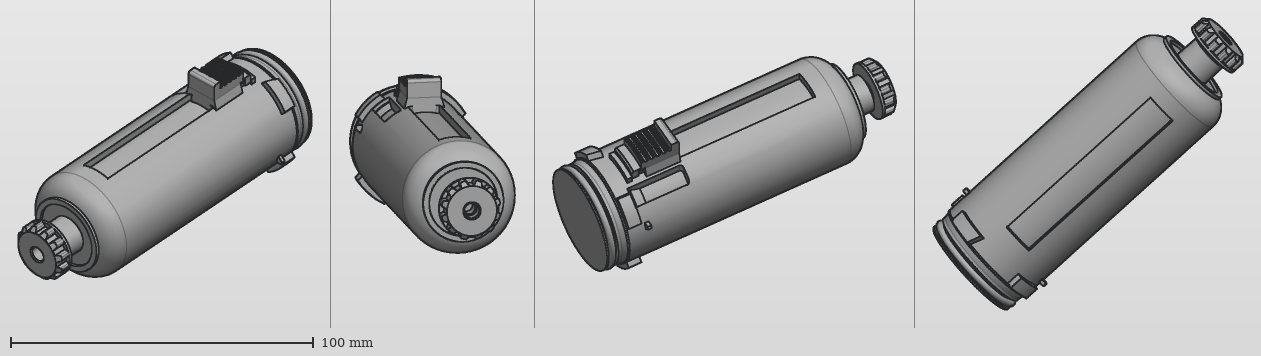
import cadquery as cq
import math

LENGTH = 115.0
HEIGHT = 46.3
OVERLAP = 0.6

GUARD_R = 37.8 / 2
GUARD_BORE_R = 32.5 / 2
GUARD_TOP_Y = 106.7
DOME_FILLET_R = 8.0
DOME_START_Y = 23.0
RIM_R = 27.0 / 2
RIM_BORE_R = 23.0 / 2
RIM_Y = 14.3
BORE_END_Y = 19.5
SLOT_WIDTH = 10.8
SLOT_START_Y = 28.9
BOTTOM_SLOT_END_Y = 93.7

TAB_R = 42.0 / 2
TAB_HALF_WIDTH = 10.7 / 2
TAB_LENGTH = 4.8
TAB_ANGLE = 45
TAB_SLANT = 1.5

LUG_R = 21.0
LUG_TOP_Z = 8.7
LUG_TIP_Z = 7.7
LUG_ROOT_X = 17.2
LUG_Y = 98.8
LUG_LENGTH = 1.4

POCKET_START_Y = 80.7
POCKET_END_Y = 101.4
POCKET_INNER_X = -7.7
POCKET_OUTER_X = -13.3
POCKET_OUTER_SLOPE = 2.3
POCKET_LOW_Z = 9.2
POCKET_CORNER_R = 1.0
RAMP_R = 17.6
RAMP_START_Y = 96.7
RAMP_TOP_Y = 100.5

FLANGE_Y = 107.4
COLLAR_TOP_R = 36.5 / 2
COLLAR_FOOT_R = 18.6
COLLAR_FOOT_Y = 109.5
COLLAR_TOP_Y = 110.6
NECK_GROOVE_R = 16.6
BEAD_Y = 112.6
BEAD_R = 1.3
BEAD_OUTER_R = 18.6
LIP_Y = 114.3
BOWL_END_Y = 15.3
STEM_TOP_R = 6.7
STEM_END_R = 13.0 / 2
STEM_END_Y = 7.1
KNOB_NECK_R = 8.0 / 2
KNOB_R = 20.0 / 2
KNOB_TOP_Y = 6.0
KNOB_FLANGE_Y = 5.0
KNOB_FACE_R = 8.4
KNOB_CHAMFER_LENGTH = 1.5
FLUTE_COUNT = 12
FLUTE_FLOOR_R = 8.5
FLUTE_FLOOR_WIDTH = 1.7
FLUTE_MOUTH_WIDTH = 3.3
KNOB_EDGE_FILLET = 0.7
DRAIN_MOUTH_R = 3.0
DRAIN_CHAMFER = 0.5
DRAIN_SHELF_Y = 4.6
DRAIN_R = 4.0 / 2
DRAIN_DEPTH = 9.2

BUTTON_FRONT_Y = 80.7
BUTTON_HALF_WIDTH = 5.8
BUTTON_TOP_Z = HEIGHT - GUARD_R
GRIP_VALLEY_Z = 24.6
RIB_R = 25.9
WALL_THICKNESS = 3.0
WALL_FILLET_R = 1.0
RIB_COUNT = 5
RIB_PITCH = 2.3
RIB_WIDTH = 1.3
RIB_CHAMFER = 0.3
GRIP_END_Y = 95.0
SHOULDER_R = 22.8
SHOULDER_END_Y = 98.7
SHOULDER_CHAMFER = 0.7
UNDERCUT_R = GUARD_R + 0.6
TAIL_R = 20.8
TAIL_HALF_WIDTH = 6.1
TAIL_END_Y = 100.5
SKIRT_TOP_Z = 21.3
SKIRT_BOTTOM_HALF_WIDTH = 7.1
SKIRT_END_Y = 93.6
SKIRT_FRONT_DRAFT = 0.1
SKIRT_FRONT_Y = BUTTON_FRONT_Y - SKIRT_FRONT_DRAFT
NOTCH_LENGTH = 2.4
NOTCH_TOP_DEPTH = 0.9
NOTCH_DEPTH = 0.5
NOTCH_BEND_Z = 20.0
TONGUE_CORNER_R = 1.7


def cylinder_y(radius, y_start, y_end):
    """Solid cylinder on the Y axis."""
    return (
        cq.Workplane("XZ", origin=(0, y_start, 0)).circle(radius).extrude(y_start - y_end)
    )


def revolve_y(points):
    """Solid turned about the Y axis from a closed (radius, y) outline."""
    return cq.Workplane("XY").polyline(points).close().revolve(360, (0, 0, 0), (0, 1, 0))


def prism_y(points, y_start, y_end):
    """Closed XZ outline extruded from y_start to y_end."""
    return (
        cq.Workplane("XZ", origin=(0, y_start, 0)).polyline(points).close()
        .extrude(y_start - y_end)
    )


def block(x_half, y_start, y_end, z_low, z_high):
    """Box centred on X = 0."""
    return (
        cq.Workplane("XY")
        .box(2 * x_half, y_end - y_start, z_high - z_low, centered=(True, False, False))
        .translate((0, y_start, z_low))
    )


def bayonet_tab(angle, slant):
    """Tab reaching out along +X, then turned about Y; a slant widens its lower end on one side."""
    tab_bottom = GUARD_TOP_Y - TAB_LENGTH
    blank = (
        cq.Workplane("YZ", origin=(GUARD_BORE_R, 0, 0))
        .polyline([
            (GUARD_TOP_Y, -TAB_HALF_WIDTH),
            (GUARD_TOP_Y, TAB_HALF_WIDTH),
            (tab_bottom, TAB_HALF_WIDTH + slant),
            (tab_bottom, -TAB_HALF_WIDTH),
        ])
        .close()
        .extrude(TAB_R - GUARD_BORE_R)
    )
    ring = cylinder_y(TAB_R, tab_bottom, GUARD_TOP_Y).cut(
        cylinder_y(GUARD_R - OVERLAP, tab_bottom, GUARD_TOP_Y)
    )
    return blank.intersect(ring).rotate((0, 0, 0), (0, 1, 0), -angle)


def locating_lug():
    """Small pointed lug on the -X side."""
    tip_x = -math.sqrt(LUG_R ** 2 - LUG_TIP_Z ** 2)
    top_x = -math.sqrt(LUG_R ** 2 - LUG_TOP_Z ** 2)
    root_x = -LUG_ROOT_X
    root_z = LUG_TIP_Z + tip_x - root_x
    return prism_y(
        [(tip_x, LUG_TIP_Z), (top_x, LUG_TOP_Z), (root_x, LUG_TOP_Z), (root_x, root_z)],
        LUG_Y, LUG_Y + LUG_LENGTH,
    )


def side_pocket():
    """Cutter for a pocket through the sleeve wall, with a ramp rising to its upper end."""
    outer_z = math.sqrt(GUARD_R ** 2 - POCKET_OUTER_X ** 2)
    outer_low_x = POCKET_OUTER_X + (outer_z - POCKET_LOW_Z) / POCKET_OUTER_SLOPE
    outer_high_x = POCKET_OUTER_X - (GUARD_R - outer_z) / POCKET_OUTER_SLOPE
    opening = (
        prism_y(
            [
                (POCKET_INNER_X, POCKET_LOW_Z), (POCKET_INNER_X, GUARD_R),
                (outer_high_x, GUARD_R), (outer_low_x, POCKET_LOW_Z),
            ],
            POCKET_START_Y, POCKET_END_Y,
        )
        .faces("<Y").edges("not |X").fillet(POCKET_CORNER_R)
    )
    ramp = revolve_y([
        (0, RAMP_START_Y), (GUARD_BORE_R, RAMP_START_Y), (RAMP_R, RAMP_TOP_Y),
        (RAMP_R, POCKET_END_Y), (0, POCKET_END_Y),
    ])
    return opening.cut(ramp)


def make_guard():
    """Sleeve with domed end, two long windows, four bayonet tabs, two lugs and a side pocket."""
    dome_center_r = GUARD_R - DOME_FILLET_R
    dome_half_angle = math.acos((RIM_R - dome_center_r) / DOME_FILLET_R) / 2
    dome_end_y = DOME_START_Y - DOME_FILLET_R * math.sin(2 * dome_half_angle)
    dome_middle = (
        dome_center_r + DOME_FILLET_R * math.cos(dome_half_angle),
        DOME_START_Y - DOME_FILLET_R * math.sin(dome_half_angle),
    )
    guard = (
        cq.Workplane("XY")
        .moveTo(RIM_BORE_R, RIM_Y)
        .lineTo(RIM_R, RIM_Y)
        .lineTo(RIM_R, dome_end_y)
        .threePointArc(dome_middle, (GUARD_R, DOME_START_Y))
        .lineTo(GUARD_R, GUARD_TOP_Y)
        .lineTo(GUARD_BORE_R, GUARD_TOP_Y)
        .lineTo(GUARD_BORE_R, BORE_END_Y)
        .lineTo(RIM_BORE_R, BORE_END_Y)
        .close()
        .revolve(360, (0, 0, 0), (0, 1, 0))
    )

    for half_turn in (0, 180):
        guard = guard.union(bayonet_tab(half_turn + TAB_ANGLE, TAB_SLANT))
        guard = guard.union(bayonet_tab(half_turn + 180 - TAB_ANGLE, 0))
        guard = guard.union(locating_lug().rotate((0, 0, 0), (0, 1, 0), half_turn))

    top_slot = block(SLOT_WIDTH / 2, SLOT_START_Y, SKIRT_END_Y, 0, GUARD_R)
    bottom_slot = block(SLOT_WIDTH / 2, SLOT_START_Y, BOTTOM_SLOT_END_Y, -GUARD_R, 0)
    core = cylinder_y(GUARD_BORE_R, 0, LENGTH)
    openings = top_slot.union(bottom_slot).union(side_pocket()).cut(core)
    return guard.cut(openings)


def flute():
    """Cutter for one tapering flute in the knob's rim, at the +Z side."""
    slope = (FLUTE_MOUTH_WIDTH - FLUTE_FLOOR_WIDTH) / 2 / (KNOB_R - FLUTE_FLOOR_R)
    outer_z = KNOB_R + OVERLAP
    outer_half = FLUTE_FLOOR_WIDTH / 2 + slope * (outer_z - FLUTE_FLOOR_R)
    return prism_y(
        [
            (-FLUTE_FLOOR_WIDTH / 2, FLUTE_FLOOR_R), (FLUTE_FLOOR_WIDTH / 2, FLUTE_FLOOR_R),
            (outer_half, outer_z), (-outer_half, outer_z),
        ],
        0, KNOB_FLANGE_Y,
    )


def drain_hole():
    """Cutter for the stepped blind hole in the knob's face."""
    wide_r = DRAIN_MOUTH_R - DRAIN_CHAMFER
    return revolve_y([
        (0, 0), (DRAIN_MOUTH_R, 0), (wide_r, DRAIN_CHAMFER), (wide_r, DRAIN_SHELF_Y),
        (DRAIN_R, DRAIN_SHELF_Y), (DRAIN_R, DRAIN_DEPTH), (0, DRAIN_DEPTH),
    ])


def fluted_band():
    """Grip band of the knob, with rounded teeth between its flutes."""
    band = cylinder_y(KNOB_R, 0, KNOB_FLANGE_Y)
    for index in range(FLUTE_COUNT):
        band = band.cut(flute().rotate((0, 0, 0), (0, 1, 0), index * 360 / FLUTE_COUNT))
    tooth_edge_limit = (FLUTE_FLOOR_R + KNOB_R) / 2
    band = (
        band.edges("|Y")
        .filter(lambda edge: math.hypot(edge.Center().x, edge.Center().z) > tooth_edge_limit)
        .fillet(KNOB_EDGE_FILLET)
    )
    cone = revolve_y([
        (0, 0), (KNOB_FACE_R, 0), (KNOB_R, KNOB_CHAMFER_LENGTH),
        (KNOB_R, KNOB_FLANGE_Y), (0, KNOB_FLANGE_Y),
    ])
    return band.intersect(cone)


def make_bowl():
    """Vessel filling the guard's bore, with a beaded collar at the top and a knob at the end."""
    body = revolve_y([
        (0, KNOB_FLANGE_Y), (KNOB_R, KNOB_FLANGE_Y),
        (KNOB_R, KNOB_TOP_Y), (KNOB_NECK_R, KNOB_TOP_Y),
        (KNOB_NECK_R, STEM_END_Y), (STEM_END_R, STEM_END_Y),
        (STEM_TOP_R, BOWL_END_Y), (RIM_BORE_R, BOWL_END_Y),
        (RIM_BORE_R, BORE_END_Y), (GUARD_BORE_R, BORE_END_Y),
        (GUARD_BORE_R, GUARD_TOP_Y), (GUARD_R, GUARD_TOP_Y),
        (GUARD_R, FLANGE_Y), (COLLAR_FOOT_R, FLANGE_Y),
        (COLLAR_TOP_R, COLLAR_FOOT_Y), (COLLAR_TOP_R, COLLAR_TOP_Y),
        (NECK_GROOVE_R, COLLAR_TOP_Y), (NECK_GROOVE_R, LIP_Y),
        (COLLAR_TOP_R, LIP_Y), (COLLAR_TOP_R, LENGTH), (0, LENGTH),
    ])
    bead_center_r = BEAD_OUTER_R - BEAD_R
    bead_root_rise = math.sqrt(BEAD_R ** 2 - (bead_center_r - NECK_GROOVE_R) ** 2)
    bead = (
        cq.Workplane("XY")
        .moveTo(NECK_GROOVE_R, BEAD_Y - bead_root_rise)
        .threePointArc((BEAD_OUTER_R, BEAD_Y), (NECK_GROOVE_R, BEAD_Y + bead_root_rise))
        .close()
        .revolve(360, (0, 0, 0), (0, 1, 0))
    )
    return body.union(bead).union(fluted_band()).cut(drain_hole())


def grip():
    """Upper part of the button: a tall end wall with arched ribs behind it."""
    wall_back_y = BUTTON_FRONT_Y + WALL_THICKNESS
    body = block(BUTTON_HALF_WIDTH, BUTTON_FRONT_Y, GRIP_END_Y, 0, GRIP_VALLEY_Z)
    wall = (
        block(BUTTON_HALF_WIDTH, BUTTON_FRONT_Y, wall_back_y, 0, BUTTON_TOP_Z)
        .faces("<Y").edges(">Z").fillet(WALL_FILLET_R)
    )
    body = body.union(wall)
    for index in range(RIB_COUNT):
        rib_end = GRIP_END_Y - index * RIB_PITCH
        rib_start = rib_end - RIB_WIDTH
        rib = block(BUTTON_HALF_WIDTH, rib_start, rib_end, 0, RIB_R)
        arch = cylinder_y(RIB_R, rib_start, rib_end).edges().chamfer(RIB_CHAMFER)
        body = body.union(rib.intersect(arch))
    return body


def shoulder():
    """Arched step behind the grip."""
    arch = (
        cylinder_y(SHOULDER_R, GRIP_END_Y, SHOULDER_END_Y)
        .faces(">Y").chamfer(SHOULDER_CHAMFER)
    )
    return arch.intersect(
        block(BUTTON_HALF_WIDTH, GRIP_END_Y, SHOULDER_END_Y, 0, SHOULDER_R)
    )


def skirt():
    """Flared foot below the grip."""
    return prism_y(
        [
            (-SKIRT_BOTTOM_HALF_WIDTH, GUARD_BORE_R), (SKIRT_BOTTOM_HALF_WIDTH, GUARD_BORE_R),
            (BUTTON_HALF_WIDTH, SKIRT_TOP_Z), (-BUTTON_HALF_WIDTH, SKIRT_TOP_Z),
        ],
        SKIRT_FRONT_Y, SKIRT_END_Y,
    ).cut(cylinder_y(GUARD_R, 0, LENGTH))


def tongue():
    """Block under the skirt that fills the end of the window down to the bowl."""
    return (
        block(SLOT_WIDTH / 2, SKIRT_FRONT_Y, SKIRT_END_Y, 0, UNDERCUT_R)
        .edges("|Z and <Y").fillet(TONGUE_CORNER_R)
        .cut(cylinder_y(GUARD_BORE_R, 0, LENGTH))
    )


def front_lean():
    """Envelope whose front leans out by the draft between the skirt's top and the bowl."""
    return (
        cq.Workplane("YZ")
        .polyline([
            (SKIRT_FRONT_Y, 0), (SKIRT_END_Y, 0), (SKIRT_END_Y, SKIRT_TOP_Z),
            (BUTTON_FRONT_Y, SKIRT_TOP_Z), (SKIRT_FRONT_Y, GUARD_BORE_R),
        ])
        .close()
        .extrude(SKIRT_BOTTOM_HALF_WIDTH, both=True)
    )


def tail():
    """Arched lip resting on the sleeve behind the shoulder."""
    return (
        block(TAIL_HALF_WIDTH, SHOULDER_END_Y, TAIL_END_Y, 0, TAIL_R)
        .intersect(cylinder_y(TAIL_R, SHOULDER_END_Y, TAIL_END_Y))
        .cut(cylinder_y(GUARD_R, 0, LENGTH))
    )


def side_notch():
    """Cutter for the notch behind the skirt, on the +X side."""
    return prism_y(
        [
            (BUTTON_HALF_WIDTH, SKIRT_TOP_Z),
            (BUTTON_HALF_WIDTH - NOTCH_TOP_DEPTH, SKIRT_TOP_Z),
            (BUTTON_HALF_WIDTH - NOTCH_DEPTH, NOTCH_BEND_Z),
            (BUTTON_HALF_WIDTH - NOTCH_DEPTH, GUARD_BORE_R), (BUTTON_HALF_WIDTH, GUARD_BORE_R),
        ],
        SKIRT_END_Y, SKIRT_END_Y + NOTCH_LENGTH,
    )


def make_button():
    """Latch that rides on the sleeve, with a tongue filling the end of the top window."""
    upper = grip().union(shoulder()).cut(cylinder_y(UNDERCUT_R, BUTTON_FRONT_Y, SHOULDER_END_Y))
    upper = upper.cut(side_notch()).cut(side_notch().mirror("YZ"))
    foot = skirt().union(tongue()).intersect(front_lean())
    return upper.union(foot).union(tail())


guard = make_guard()
bowl = make_bowl()
button = make_button()

result = cq.Compound.makeCompound([
    guard.solids().val(),
    bowl.solids().val(),
    button.solids().val(),
])